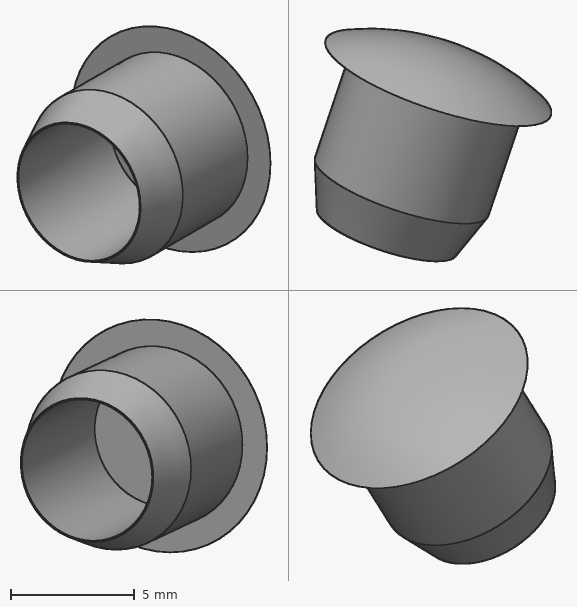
import cadquery as cq

head_radius = 4.8
dome_height = 1.2
shank_radius = 3.7
straight_length = 4.8
taper_length = 2.0
tip_radius = 2.97
bore_radius = 2.91

shank_length = straight_length + taper_length
bore_depth = shank_length

sphere_radius = (head_radius**2 + dome_height**2) / (2 * dome_height)
sphere_center_y = dome_height - sphere_radius
arc_mid_radius = head_radius / 2
arc_mid_y = sphere_center_y + (sphere_radius**2 - arc_mid_radius**2) ** 0.5


def make_body():
    """Revolve the half outline of the head and the tapered shank about Y."""
    outline = (
        cq.Workplane("XY")
        .moveTo(0, dome_height)
        .threePointArc((arc_mid_radius, arc_mid_y), (head_radius, 0))
        .lineTo(shank_radius, 0)
        .lineTo(shank_radius, -straight_length)
        .lineTo(tip_radius, -shank_length)
        .lineTo(0, -shank_length)
        .close()
    )
    return outline.revolve(360, (0, 0, 0), (0, 1, 0))


def make_bore():
    """Blind round bore, open at the tip of the shank."""
    return (
        cq.Workplane("XZ", origin=(0, -shank_length, 0))
        .circle(bore_radius)
        .extrude(-bore_depth)
    )


result = make_body().cut(make_bore())